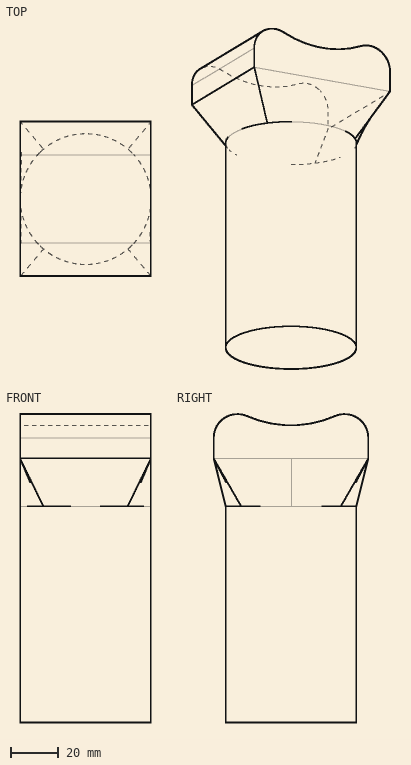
import cadquery as cq
import math

shank_diameter = 55.0
shank_length = 91.0

transition_height = 20.0

head_length = shank_diameter
head_width = 65.0
total_height = 129.68
shoulder_radius = 10.0
saddle_radius = 46.0

head_base_z = shank_length + transition_height
shoulder_y = head_width / 2 - shoulder_radius
shoulder_z = total_height - shoulder_radius

centre_distance = saddle_radius + shoulder_radius
saddle_centre_z = shoulder_z + math.sqrt(centre_distance**2 - shoulder_y**2)
saddle_low_z = saddle_centre_z - saddle_radius
tangent_fraction = shoulder_radius / centre_distance
tangent_y = shoulder_y * (1 - tangent_fraction)
tangent_z = shoulder_z + (saddle_centre_z - shoulder_z) * tangent_fraction


def make_shank():
    return cq.Workplane("XY").circle(shank_diameter / 2).extrude(shank_length)


def make_transition():
    return (
        cq.Workplane("XY")
        .workplane(offset=shank_length)
        .circle(shank_diameter / 2)
        .workplane(offset=transition_height)
        .rect(head_length, head_width)
        .loft(ruled=True, combine=True)
    )


def make_head():
    half_width = head_width / 2
    return (
        cq.Workplane("YZ")
        .moveTo(-half_width, head_base_z)
        .lineTo(half_width, head_base_z)
        .lineTo(half_width, shoulder_z)
        .tangentArcPoint((tangent_y, tangent_z), relative=False)
        .threePointArc((0, saddle_low_z), (-tangent_y, tangent_z))
        .tangentArcPoint((-half_width, shoulder_z), relative=False)
        .close()
        .extrude(head_length / 2, both=True)
    )


result = make_shank().union(make_transition()).union(make_head())